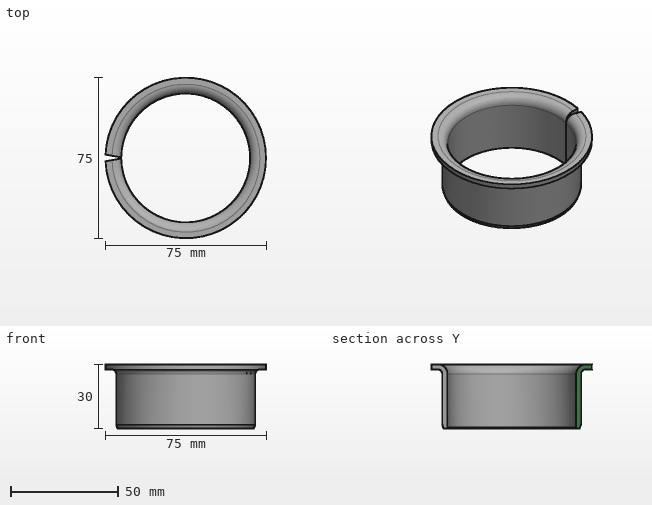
import cadquery as cq
import math

flange_radius = 37.5
bore_radius = 30.0
height = 30.0
wall = 2.5
outer_bend_radius = 2.0
lead_in_height = 1.8
lead_in_angle = 20.0
bore_chamfer = 0.5
gap_at_bore = 0.4
gap_half_angle = 10.0

sleeve_radius = bore_radius + wall
inner_bend_radius = outer_bend_radius + wall
bend_center_radius = sleeve_radius + outer_bend_radius
bend_center_z = height - inner_bend_radius
lead_in_depth = lead_in_height * math.tan(math.radians(lead_in_angle))


def bend_midpoint(radius):
    """Point halfway around the quarter bend between sleeve and flange."""
    offset = radius * math.sqrt(0.5)
    return bend_center_radius - offset, bend_center_z + offset


def flanged_bushing():
    """Revolve the flanged wall section, chamfered outside and inside at the bottom."""
    return (
        cq.Workplane("XZ")
        .moveTo(bore_radius + bore_chamfer, 0)
        .lineTo(sleeve_radius - lead_in_depth, 0)
        .lineTo(sleeve_radius, lead_in_height)
        .lineTo(sleeve_radius, bend_center_z)
        .threePointArc(bend_midpoint(outer_bend_radius), (bend_center_radius, height - wall))
        .lineTo(flange_radius, height - wall)
        .lineTo(flange_radius, height)
        .lineTo(bend_center_radius, height)
        .threePointArc(bend_midpoint(inner_bend_radius), (bore_radius, bend_center_z))
        .lineTo(bore_radius, bore_chamfer)
        .close()
        .revolve(360, (0, 0), (0, 1))
        .rotate((0, 0, 0), (0, 0, 1), 180)
    )


def split_cutter():
    """Full-height wedge on the -X side, widening outward from its apex."""
    slope = math.tan(math.radians(gap_half_angle))
    apex_radius = bore_radius - gap_at_bore / 2 / slope
    outer_reach = flange_radius + wall
    half_width = (outer_reach - apex_radius) * slope
    return (
        cq.Workplane("XY")
        .polyline([(-apex_radius, 0), (-outer_reach, half_width), (-outer_reach, -half_width)])
        .close()
        .extrude(height)
    )


result = flanged_bushing().cut(split_cutter())